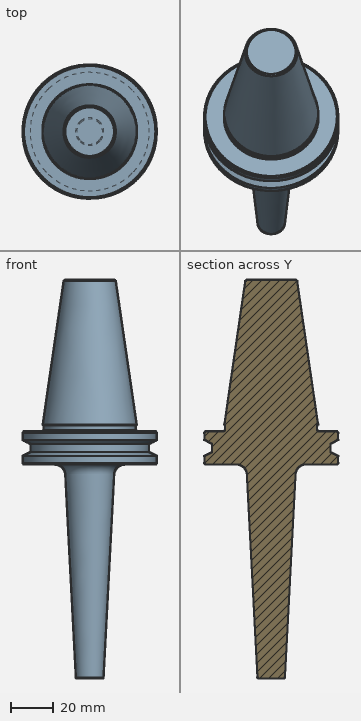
import cadquery as cq
import math

total_height = 188.4
gauge_height = 120.0
flange_top = 116.8
flange_bottom = 101.0

gauge_radius = 22.2
taper_slope = 7 / 48
top_chamfer = 0.8
collar_radius = 21.9
collar_step_height = 0.5
collar_foot_chamfer = 0.5

flange_diameter = 63.5
flange_radius = flange_diameter / 2
flange_chamfer = 0.8
groove_height = 108.9
groove_root_radius = 28.0
groove_root_half_width = 1.9
groove_mouth_half_width = 3.8

tip_radius = 6.5
tip_chamfer = 0.5
nose_angle = 3.0
neck_fillet = 4.7

top_radius = gauge_radius - (total_height - gauge_height) * taper_slope
chamfer_base_radius = top_radius + top_chamfer * taper_slope

nose_tilt = math.radians(nose_angle)
fillet_center_height = flange_bottom - neck_fillet
neck_height = fillet_center_height + neck_fillet * math.sin(nose_tilt)
neck_radius = tip_radius + (neck_height - tip_chamfer) * math.tan(nose_tilt)
fillet_center_radius = neck_radius + neck_fillet * math.cos(nose_tilt)
fillet_mid_offset = neck_fillet * math.sqrt(0.5)
fillet_middle = (fillet_center_radius - fillet_mid_offset, fillet_center_height + fillet_mid_offset)

profile = (
    cq.Workplane("XZ")
    .moveTo(0, 0)
    .lineTo(tip_radius - tip_chamfer, 0)
    .lineTo(tip_radius, tip_chamfer)
    .lineTo(neck_radius, neck_height)
    .threePointArc(fillet_middle, (fillet_center_radius, flange_bottom))
    .lineTo(flange_radius - flange_chamfer, flange_bottom)
    .lineTo(flange_radius, flange_bottom + flange_chamfer)
    .lineTo(flange_radius, groove_height - groove_mouth_half_width)
    .lineTo(groove_root_radius, groove_height - groove_root_half_width)
    .lineTo(groove_root_radius, groove_height + groove_root_half_width)
    .lineTo(flange_radius, groove_height + groove_mouth_half_width)
    .lineTo(flange_radius, flange_top - flange_chamfer)
    .lineTo(flange_radius - flange_chamfer, flange_top)
    .lineTo(collar_radius + collar_foot_chamfer, flange_top)
    .lineTo(collar_radius, flange_top + collar_foot_chamfer)
    .lineTo(collar_radius, gauge_height - collar_step_height)
    .lineTo(gauge_radius, gauge_height)
    .lineTo(chamfer_base_radius, total_height - top_chamfer)
    .lineTo(top_radius - top_chamfer, total_height)
    .lineTo(0, total_height)
    .close()
)

result = profile.revolve(360, (0, 0, 0), (0, 1, 0))